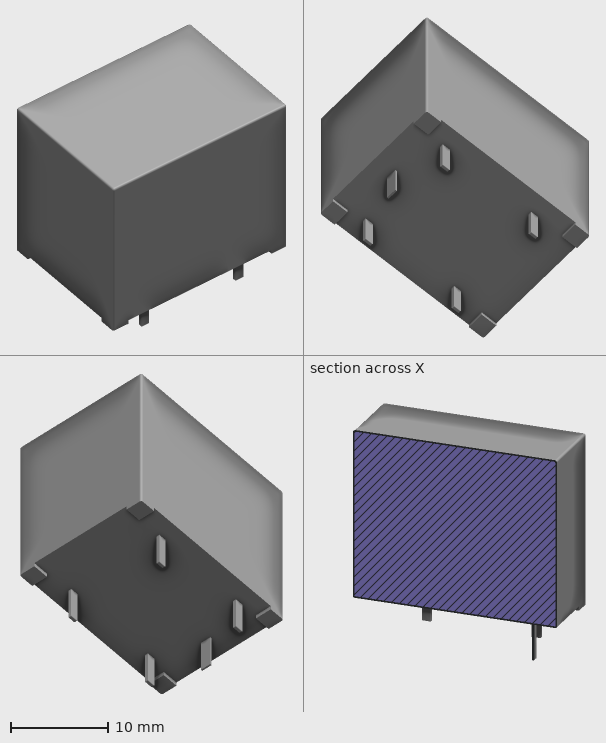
import cadquery as cq

width = 16.5
depth = 22.5
height = 22.5

feet_bottom = 3.5
foot_height = 0.47
foot_width = 2.0
floor_z = feet_bottom + foot_height
edge_radius = 0.25

side_pin_x = 5.96
side_pin_thickness = 0.4
front_pin_width = 0.97
rear_pin_width = 1.04
front_pin_y = -5.5
rear_pin_y = 6.68
tip_radius = 0.1

centre_pin_y = 8.68
centre_pin_thickness = 0.2
centre_pin_width = 1.25


def make_housing():
    """Box with rounded sides and top, relieved below to leave corner feet."""
    body = (
        cq.Workplane("XY")
        .workplane(offset=feet_bottom)
        .rect(width, depth)
        .extrude(height - feet_bottom)
        .edges("|Z or >Z")
        .fillet(edge_radius)
    )
    relief_width = width - 2 * foot_width
    relief_depth = depth - 2 * foot_width
    for size_x, size_y in ((relief_width, depth), (width, relief_depth)):
        relief = (
            cq.Workplane("XY")
            .workplane(offset=feet_bottom)
            .rect(size_x, size_y)
            .extrude(foot_height)
        )
        body = body.cut(relief)
    return body


def make_pin(x, y, size_x, size_y):
    """Rectangular pin from the tip plane up to the housing floor."""
    return (
        cq.Workplane("XY")
        .center(x, y)
        .rect(size_x, size_y)
        .extrude(floor_z)
    )


result = make_housing()

side_pin_pairs = (
    (front_pin_y, front_pin_width),
    (rear_pin_y, rear_pin_width),
)
for pin_y, pin_width in side_pin_pairs:
    for pin_x in (-side_pin_x, side_pin_x):
        pin = make_pin(pin_x, pin_y, side_pin_thickness, pin_width)
        result = result.union(pin.edges("<Z").fillet(tip_radius))

result = result.union(make_pin(0, centre_pin_y, centre_pin_width, centre_pin_thickness))